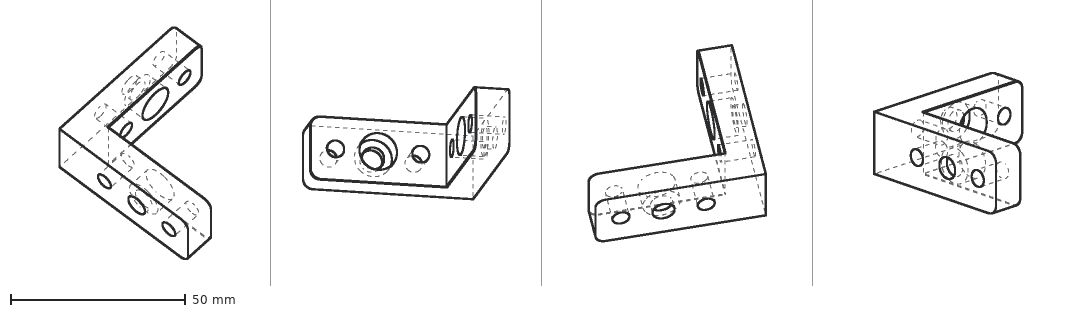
import cadquery as cq

leg_length = 50.0
leg_thickness = 10.0
height = 19.0
corner_radius = 3.0
edge_break = 0.2

bolt_position = 30.0
pin_spacing = 12.5
bolt_diameter = 6.5
pin_diameter = 5.0
counterbore_diameter = 11.0
counterbore_depth = 7.0


def make_leg():
    """Leg along X with its outer face on y = 0 and rounded corners at the free end."""
    leg = cq.Workplane("XY").box(leg_length, leg_thickness, height, centered=False)
    return leg.edges(">X and |Y").fillet(corner_radius)


def swap_legs(shape):
    """Mirror across the vertical plane x = y, which carries one leg onto the other."""
    return shape.mirror("YZ").rotate((0, 0, 0), (0, 0, 1), -90)


def cylinder_along_y(diameter, x, start, length):
    """Horizontal cylinder at mid height, running in +Y from y = start."""
    plane = cq.Plane(origin=(x, start, height / 2), xDir=(1, 0, 0), normal=(0, 1, 0))
    return cq.Workplane(plane).circle(diameter / 2).extrude(length)


def make_leg_holes():
    """Counterbored bolt hole, opening inward, between two through pin holes."""
    holes = cylinder_along_y(bolt_diameter, bolt_position, 0, leg_thickness)
    shoulder = leg_thickness - counterbore_depth
    holes = holes.union(
        cylinder_along_y(counterbore_diameter, bolt_position, shoulder, counterbore_depth)
    )
    for side in (-1, 1):
        pin_position = bolt_position + side * pin_spacing
        holes = holes.union(cylinder_along_y(pin_diameter, pin_position, 0, leg_thickness))
    return holes


leg = make_leg()
body = leg.union(swap_legs(leg))

mid_leg = (leg_thickness + leg_length) / 2
inner_x_leg_face = cq.selectors.NearestToPointSelector((mid_leg, leg_thickness, height / 2))
inner_y_leg_face = cq.selectors.NearestToPointSelector((leg_thickness, mid_leg, height / 2))
inside_corner = cq.selectors.NearestToPointSelector((leg_thickness, leg_thickness, height / 2))
inner_faces = body.faces(inner_x_leg_face).add(body.faces(inner_y_leg_face))
every_edge = cq.selectors.Selector()
body = inner_faces.edges(every_edge - inside_corner).chamfer(edge_break)

leg_holes = make_leg_holes()
result = body.cut(leg_holes).cut(swap_legs(leg_holes))